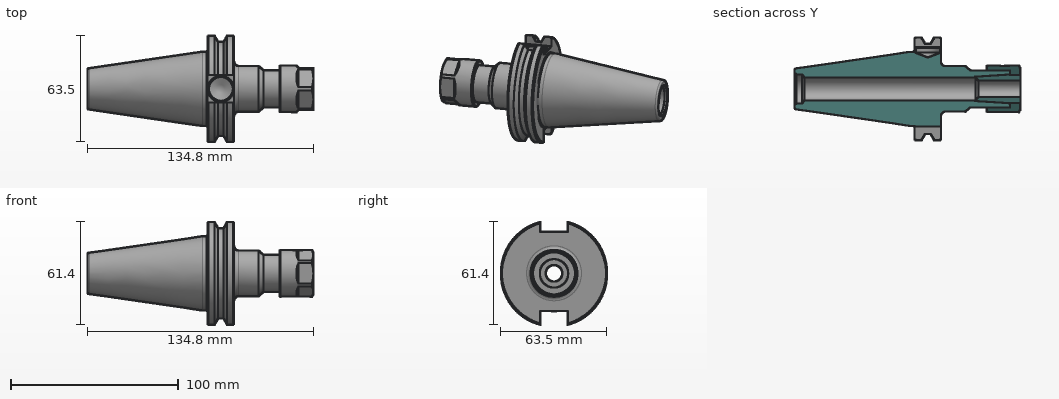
import cadquery as cq
import math

total_length = 134.8
taper_end = 68.5
flange_start = 71.5
flange_end = 87.5
collar_end = 102.0
neck_start = 104.9
nut_start = 114.6
nose_end = 128.7
nut_end = 134.7

taper_small_radius = 12.4
taper_large_radius = 22.2
taper_rounding = 1.1
flange_radius = 63.5 / 2
flange_fillet = 0.4
flange_chamfer_length = 0.8
flange_chamfer_height = 0.7
collar_radius = 27.4 / 2
collar_fillet = 2.7
neck_radius = 11.2

groove_center = 79.5
groove_top_width = 7.5
groove_floor_width = 3.2
groove_floor_radius = 28.2

slot_width = 16.3
upper_slot_floor = 25.0
lower_slot_floor = 22.5
dimple_rim_radius = 7.7
dimple_radius = 7.1
dimple_wall_depth = 3.4
dimple_cone_depth = 2.7

bore_mouth_radius = 9.3
bore_radius = 8.5
bore_chamfer_length = 1.3
bore_cone_start = 4.6
bore_cone_end = 5.9
through_radius = 13.3 / 2

collet_start = 107.8
collet_back_radius = 7.1
collet_front_radius = 8.5
collet_hole_radius = 4.9
collet_countersink_depth = 1.9

nut_radius = 27.9 / 2
nut_across_flats = 25.1
nut_flat_start = 125.9
nut_rear_chamfer = 0.4
nut_front_chamfer_angle = 30.0
nut_flat_count = 6


def revolve_about_x(profile):
    """Turn a closed profile, drawn as X against radius, about the X axis."""
    return profile.close().revolve(360, (0, 0, 0), (1, 0, 0))


def make_holder_blank():
    rim_radius = flange_radius - flange_chamfer_height
    profile = (
        cq.Workplane("XY")
        .lineTo(0, taper_small_radius - taper_rounding)
        .radiusArc((taper_rounding, taper_small_radius), taper_rounding)
        .lineTo(taper_end, taper_large_radius)
        .lineTo(flange_start - flange_fillet, taper_large_radius)
        .radiusArc((flange_start, taper_large_radius + flange_fillet), -flange_fillet)
        .lineTo(flange_start, rim_radius)
        .lineTo(flange_start + flange_chamfer_length, flange_radius)
        .lineTo(groove_center - groove_top_width / 2, flange_radius)
        .lineTo(groove_center - groove_floor_width / 2, groove_floor_radius)
        .lineTo(groove_center + groove_floor_width / 2, groove_floor_radius)
        .lineTo(groove_center + groove_top_width / 2, flange_radius)
        .lineTo(flange_end - flange_chamfer_length, flange_radius)
        .lineTo(flange_end, rim_radius)
        .lineTo(flange_end, collar_radius + collar_fillet)
        .radiusArc((flange_end + collar_fillet, collar_radius), -collar_fillet)
        .lineTo(collar_end, collar_radius)
        .lineTo(neck_start, neck_radius)
        .lineTo(nose_end, neck_radius)
        .lineTo(nose_end, 0)
    )
    return revolve_about_x(profile)


def make_holder_bore():
    profile = (
        cq.Workplane("XY")
        .lineTo(0, bore_mouth_radius)
        .lineTo(bore_chamfer_length, bore_radius)
        .lineTo(bore_cone_start, bore_radius)
        .lineTo(bore_cone_end, through_radius)
        .lineTo(nose_end, through_radius)
        .lineTo(nose_end, 0)
    )
    return revolve_about_x(profile)


def make_drive_slot(floor, side):
    """Slot through the flange, open upward (side = 1) or downward (side = -1)."""
    depth = flange_radius - floor
    return cq.Workplane("XY").box(flange_end - flange_start, slot_width, depth).translate(
        ((flange_start + flange_end) / 2, 0, side * (floor + depth / 2))
    )


def make_dimple():
    rim_chamfer = dimple_rim_radius - dimple_radius
    wall_bottom = upper_slot_floor - dimple_wall_depth
    return (
        cq.Workplane("XZ")
        .moveTo(0, upper_slot_floor)
        .lineTo(dimple_rim_radius, upper_slot_floor)
        .lineTo(dimple_radius, upper_slot_floor - rim_chamfer)
        .lineTo(dimple_radius, wall_bottom)
        .lineTo(0, wall_bottom - dimple_cone_depth)
        .close()
        .revolve(360, (0, 0, 0), (0, 1, 0))
        .translate((groove_center, 0, 0))
    )


def make_collet_envelope():
    """Outside of the collet, tapered up to the nose of the holder and straight beyond it."""
    profile = (
        cq.Workplane("XY")
        .moveTo(collet_start, 0)
        .lineTo(collet_start, collet_back_radius)
        .lineTo(nose_end, collet_front_radius)
        .lineTo(total_length, collet_front_radius)
        .lineTo(total_length, 0)
    )
    return revolve_about_x(profile)


def make_holder():
    return (
        make_holder_blank()
        .cut(make_holder_bore())
        .cut(make_collet_envelope())
        .cut(make_drive_slot(upper_slot_floor, 1))
        .cut(make_drive_slot(lower_slot_floor, -1))
        .cut(make_dimple())
    )


def make_collet():
    profile = (
        cq.Workplane("XY")
        .moveTo(collet_start, 0)
        .lineTo(collet_start, through_radius)
        .lineTo(collet_start + collet_countersink_depth, collet_hole_radius)
        .lineTo(total_length, collet_hole_radius)
        .lineTo(total_length, 0)
    )
    return make_collet_envelope().cut(revolve_about_x(profile))


def make_nut_flat_cutter():
    """Material removed above one flat, with a 45 degree run-out toward the rear."""
    flat_height = nut_across_flats / 2
    run_out = nut_radius - flat_height
    return (
        cq.Workplane("XY")
        .moveTo(nut_flat_start, flat_height)
        .lineTo(nut_end, flat_height)
        .lineTo(nut_end, nut_radius)
        .lineTo(nut_flat_start - run_out, nut_radius)
        .close()
        .extrude(nut_radius, both=True)
    )


def make_nut():
    face_radius = nut_across_flats / 2
    front_chamfer_length = (nut_radius - face_radius) * math.tan(math.radians(nut_front_chamfer_angle))
    profile = (
        cq.Workplane("XY")
        .moveTo(nut_start, neck_radius)
        .lineTo(nut_start, nut_radius - nut_rear_chamfer)
        .lineTo(nut_start + nut_rear_chamfer, nut_radius)
        .lineTo(nut_end - front_chamfer_length, nut_radius)
        .lineTo(nut_end, face_radius)
        .lineTo(nut_end, collet_front_radius)
        .lineTo(nose_end, collet_front_radius)
        .lineTo(nose_end, neck_radius)
    )
    nut = revolve_about_x(profile)
    cutter = make_nut_flat_cutter()
    for i in range(nut_flat_count):
        nut = nut.cut(cutter.rotate((0, 0, 0), (1, 0, 0), i * 360 / nut_flat_count))
    return nut


holder = make_holder()
collet = make_collet()
nut = make_nut()

result = cq.Compound.makeCompound([holder.val(), collet.val(), nut.val()])